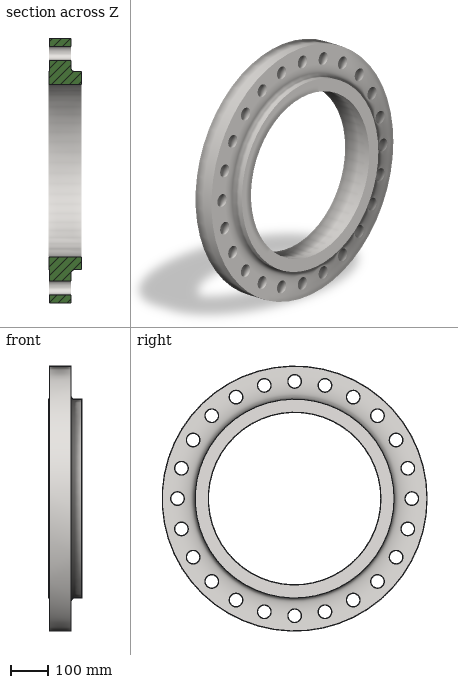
import cadquery as cq

outer_diameter = 711.0
bore_diameter = 462.0
hub_diameter = 533.5
total_length = 89.0
raised_face_height = 1.6
plate_end = 60.5
hub_fillet = 8.5
bolt_circle_diameter = 629.0
bolt_hole_diameter = 35.5
bolt_count = 24

outer_radius = outer_diameter / 2
bore_radius = bore_diameter / 2
hub_radius = hub_diameter / 2
face_radius = hub_radius


def flange_body():
    """Revolve the half section (axial position, radius) about the X axis."""
    fillet_end = (plate_end + hub_fillet, hub_radius)
    fillet_center = (plate_end + hub_fillet, hub_radius + hub_fillet)
    diagonal = hub_fillet * 0.5**0.5
    fillet_middle = (fillet_center[0] - diagonal, fillet_center[1] - diagonal)
    section = (
        cq.Workplane("XY")
        .moveTo(0, bore_radius)
        .lineTo(0, face_radius)
        .lineTo(raised_face_height, face_radius)
        .lineTo(raised_face_height, outer_radius)
        .lineTo(plate_end, outer_radius)
        .lineTo(plate_end, hub_radius + hub_fillet)
        .threePointArc(fillet_middle, fillet_end)
        .lineTo(total_length, hub_radius)
        .lineTo(total_length, bore_radius)
        .close()
    )
    return section.revolve(360, (0, 0, 0), (1, 0, 0))


def bolt_holes():
    """Cylinders evenly spaced on the bolt circle, one of them on the Y axis."""
    return (
        cq.Workplane("YZ")
        .polarArray(bolt_circle_diameter / 2, 0, 360, bolt_count)
        .circle(bolt_hole_diameter / 2)
        .extrude(total_length)
    )


result = flange_body().cut(bolt_holes())